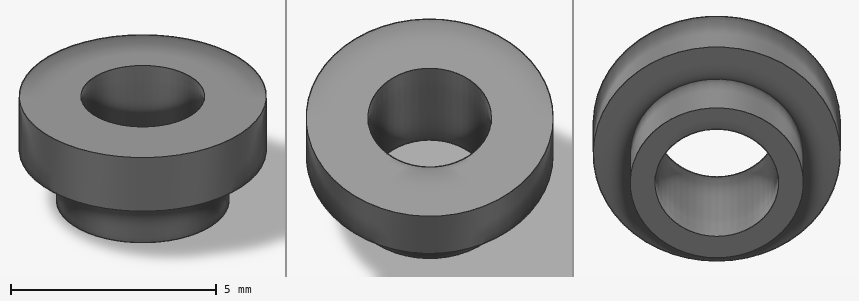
import cadquery as cq

flange_diameter = 6.0
sleeve_diameter = 4.2
bore_diameter = 3.0
total_height = 2.9
flange_height = 1.5
sleeve_height = total_height - flange_height

sleeve = cq.Workplane("XY").circle(sleeve_diameter / 2).extrude(sleeve_height)
flange = (
    cq.Workplane("XY")
    .workplane(offset=sleeve_height)
    .circle(flange_diameter / 2)
    .extrude(flange_height)
)

bore = cq.Workplane("XY").circle(bore_diameter / 2).extrude(total_height)

result = sleeve.union(flange).cut(bore)